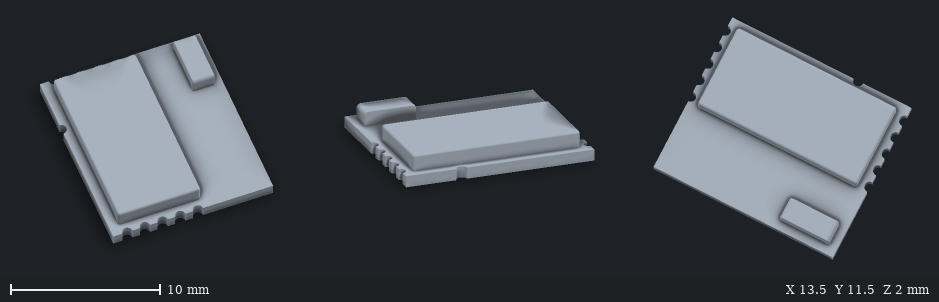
import cadquery as cq

board_length = 13.5
board_width = 11.5
board_thickness = 0.8
total_height = 2.0

castellation_radius = 0.36
castellation_pitch = 1.27
castellations_per_side = 5
first_castellation_y = 1.01
front_castellation_x = 4.0

can_length = 12.0
can_width = 5.94
can_front_y = 0.65
can_edge_radius = 0.2
can_height = total_height - board_thickness

antenna_length = 3.71
antenna_width = 1.58
antenna_height = 1.1
antenna_left_inset = 0.6
antenna_rear_inset = 0.6
antenna_end_radius = 0.31
antenna_side_radius = 0.1


def make_board():
    side_rows = [
        (x, first_castellation_y + i * castellation_pitch)
        for x in (0, board_length)
        for i in range(castellations_per_side)
    ]
    centres = side_rows + [(front_castellation_x, 0)]
    cutters = cq.Workplane("XY").pushPoints(centres).circle(castellation_radius).extrude(board_thickness)
    board = cq.Workplane("XY").box(board_length, board_width, board_thickness, centered=False)
    return board.cut(cutters)


def make_can():
    can = cq.Workplane("XY").box(can_length, can_width, can_height, centered=False)
    can = can.edges("not <Z").fillet(can_edge_radius)
    can_left_x = (board_length - can_length) / 2
    return can.translate((can_left_x, can_front_y, board_thickness))


def make_antenna():
    antenna = cq.Workplane("XY").box(antenna_length, antenna_width, antenna_height, centered=False)
    antenna = antenna.edges(">Z and |Y").fillet(antenna_end_radius)
    antenna = antenna.faces("<Y or >Y").edges("not <Z").fillet(antenna_side_radius)
    antenna_front_y = board_width - antenna_rear_inset - antenna_width
    return antenna.translate((antenna_left_inset, antenna_front_y, board_thickness))


result = make_board().union(make_can()).union(make_antenna())